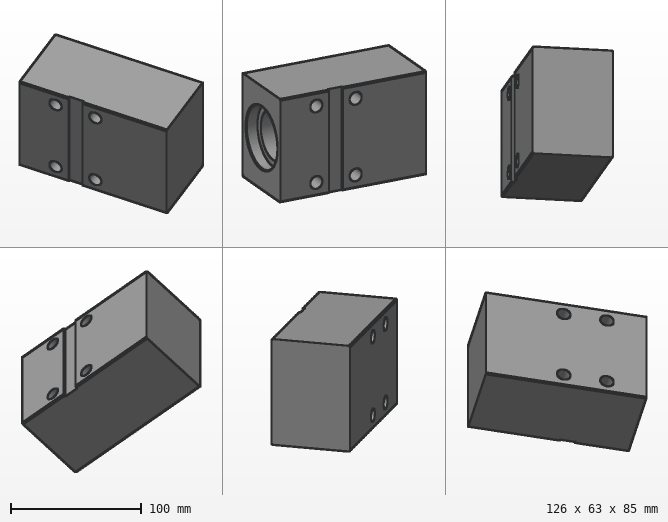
import cadquery as cq

length = 126.0
depth = 63.0
height = 85.0
edge_chamfer = 1.0

groove_start = 42.0
groove_width = 12.0
groove_depth = 2.0

hole_diameter = 10.5
hole_columns = (31.0, 65.0)
hole_spacing_z = 63.0

mouth_diameter = 51.0
mouth_depth = 10.0
mouth_chamfer = 0.8
bore_diameter = 40.0
bore_depth = 107.1


def make_block():
    """Block with its four long edges chamfered."""
    block = cq.Workplane("XY").box(length, depth, height, centered=(False, True, True))
    return block.edges("|X").chamfer(edge_chamfer)


def make_groove():
    """Shallow groove running the full height of the front face."""
    groove = cq.Workplane("XY").box(groove_width, groove_depth, height, centered=(False, False, True))
    return groove.translate((groove_start, -depth / 2, 0))


def make_mounting_holes():
    """Two columns of plain holes along Y."""
    centres = [(x, side * hole_spacing_z / 2) for x in hole_columns for side in (-1, 1)]
    drills = cq.Workplane("XZ").pushPoints(centres).circle(hole_diameter / 2)
    return drills.extrude(depth, both=True)


def make_bore():
    """Stepped bore with a chamfered mouth, revolved about the X axis."""
    mouth_radius = mouth_diameter / 2
    bore_radius = bore_diameter / 2
    profile = (
        cq.Workplane("XY")
        .moveTo(0, 0)
        .lineTo(0, mouth_radius + mouth_chamfer)
        .lineTo(mouth_chamfer, mouth_radius)
        .lineTo(mouth_depth, mouth_radius)
        .lineTo(mouth_depth, bore_radius)
        .lineTo(bore_depth, bore_radius)
        .lineTo(bore_depth, 0)
        .close()
    )
    return profile.revolve(360, (0, 0, 0), (1, 0, 0))


result = make_block().cut(make_groove()).cut(make_mounting_holes()).cut(make_bore())